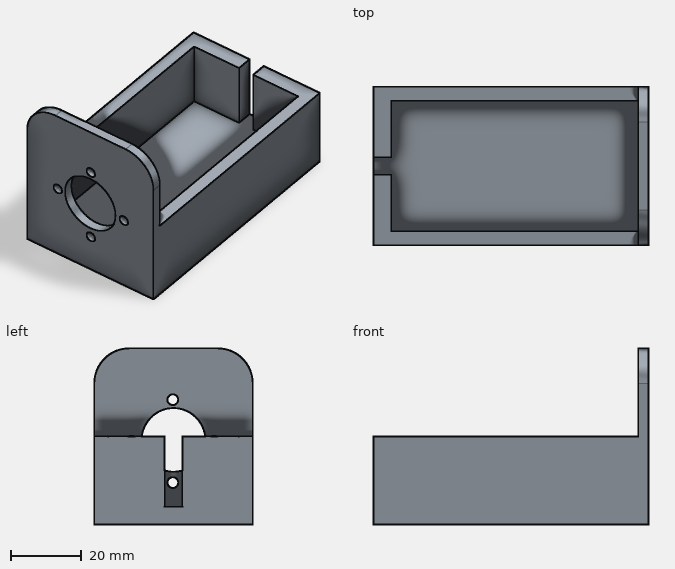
import cadquery as cq

LENGTH = 78.0
WIDTH = 45.0
TRAY_HEIGHT = 25.0
FLOOR = 5.0
SIDE_WALL = 4.0
FRONT_WALL = 5.0

PLATE_HEIGHT = 50.0
PLATE_THICKNESS = 3.0
PLATE_CORNER_RADIUS = 10.0

SLOT_WIDTH = 5.0

BORE_DIAMETER = 18.0
BORE_Y = 0.0
BORE_Z = 24.0
SCREW_DIAMETER = 3.0
SCREW_CIRCLE_DIAMETER = 23.5
SCREW_CIRCLE_Y = 0.2
SCREW_CIRCLE_Z = 23.65
SCREW_COUNT = 4

PLATE_INNER_X = LENGTH - PLATE_THICKNESS


def box_from(x_start, x_end, width, z_start, z_end):
    """Box centred on Y = 0 between the given X and Z limits."""
    return (
        cq.Workplane("XY")
        .box(x_end - x_start, width, z_end - z_start, centered=(False, True, False))
        .translate((x_start, 0, z_start))
    )


def make_tray():
    """Open box whose +X end is closed by the mounting plate."""
    body = box_from(0, LENGTH, WIDTH, 0, TRAY_HEIGHT)
    pocket = box_from(FRONT_WALL, PLATE_INNER_X, WIDTH - 2 * SIDE_WALL, FLOOR, TRAY_HEIGHT)
    slot = box_from(0, FRONT_WALL, SLOT_WIDTH, FLOOR, TRAY_HEIGHT)
    return body.cut(pocket).cut(slot)


def make_plate():
    """Full-height plate with its two upper corners rounded."""
    plate = box_from(PLATE_INNER_X, LENGTH, WIDTH, 0, PLATE_HEIGHT)
    return plate.edges("|X and >Z").fillet(PLATE_CORNER_RADIUS)


def make_holes():
    """Central bore and the ring of screw holes, all running along X."""
    plane = cq.Workplane("YZ", origin=(PLATE_INNER_X, 0, 0))
    bore = plane.center(BORE_Y, BORE_Z).circle(BORE_DIAMETER / 2).extrude(PLATE_THICKNESS)
    screws = (
        plane.center(SCREW_CIRCLE_Y, SCREW_CIRCLE_Z)
        .polarArray(SCREW_CIRCLE_DIAMETER / 2, 0, 360, SCREW_COUNT)
        .circle(SCREW_DIAMETER / 2)
        .extrude(PLATE_THICKNESS)
    )
    return bore.union(screws)


result = make_tray().union(make_plate()).cut(make_holes())